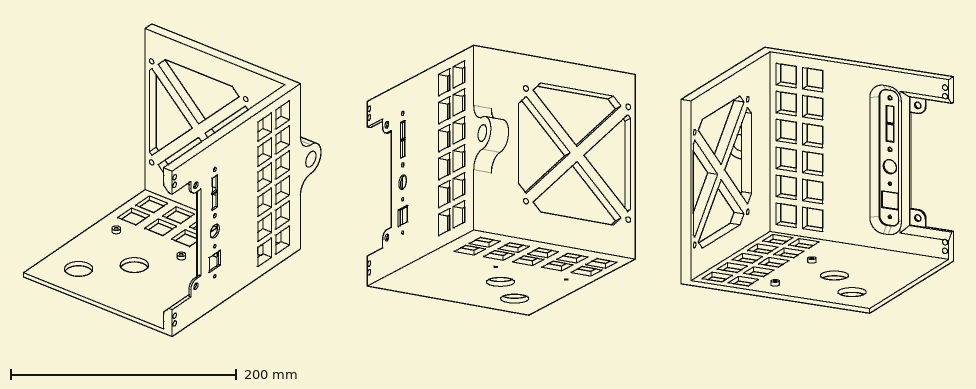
import cadquery as cq
import math

width = 166.0
total_length = 217.0
height = 172.0
floor_thickness = 4.5
back_thickness = 10.0
side_thickness = 9.8

lug_radius = 15.0
lug_hole_diameter = 15.0
lug_thickness = 18.2

length = total_length - 2 * lug_radius
side_inner_x = width - side_thickness

vent_size = 20.0
vent_row_pitch = 26.0
vent_first_y = 125.0
vent_rows = 2
side_vent_first_z = 12.0
side_vent_columns = 6
floor_vent_width = 20.5
floor_vent_first_x = 9.5
floor_vent_pitch = 30.0
floor_vent_columns = 5

standoff_diameter = 7.5
standoff_hole_diameter = 3.0
standoff_height = 3.5
standoff_y = 105.2
standoff_xs = (23.0, 95.7)
cable_hole_diameter = 25.0
cable_hole_spots = (35.0, 70.0)

fan_x = 60.0
fan_z = 88.0
fan_opening = 120.0
fan_corner_cut = 22.8
fan_brace_width = 10.0
fan_screw_pitch = 105.0
fan_screw_diameter = 5.0
fan_left_limit = 5.0

bevel = 6.0
notch_depth = 42.0
notch_height = 120.0
notch_z = fan_z

ear_size = 15.0
ear_thickness = 2.0
ear_hole_diameter = 6.0
ear_hole_inset = ear_size / 2

arm_hole_diameter = 5.0
arm_hole_y = 3.7
arm_hole_pitch = 8.0
arm_lower_hole_zs = (12.0, 12.0 + arm_hole_pitch)
arm_upper_hole_zs = (156.0, 156.0 + arm_hole_pitch)

panel_y = 62.3
panel_z = notch_z
panel_width = 19.5
panel_height = 126.3
panel_corner_radius = 7.4
panel_thickness = 2.0
panel_round_holes = ((143.5, 4.0), (95.5, 4.0), (79.5, 13.0), (63.5, 3.0), (32.5, 3.0))
twin_window_width = 7.5
twin_window_height = 16.0
twin_window_gap = 1.0
twin_window_z = 119.4
square_window_width = 16.3
square_window_height = 15.5
square_window_z = 48.0


def block(x_range, y_range, z_range):
    """Axis-aligned box between the given limits."""
    (x0, x1), (y0, y1), (z0, z1) = x_range, y_range, z_range
    return cq.Workplane("XY").box(x1 - x0, y1 - y0, z1 - z0, centered=False).translate((x0, y0, z0))


def plane_facing_x(x):
    """Sketch plane at the given X: local axes are Y and Z, extrusion runs toward +X."""
    return cq.Workplane("YZ", origin=(x, 0, 0))


def plane_facing_y(y):
    """Sketch plane at the given Y: local axes are X and Z, extrusion runs toward -Y."""
    return cq.Workplane("XZ", origin=(0, y, 0))


def side_cut(sketch):
    """Extrude a sketch lying on the inner face of the side wall through the wall."""
    return sketch.extrude(side_thickness)


def make_walls():
    floor = block((0, width), (0, length), (0, floor_thickness))
    back = block((0, width), (length - back_thickness, length), (0, height))
    side = block((side_inner_x, width), (0, length), (0, height))
    return floor.union(back).union(side)


def make_lug():
    """Round eye joined to the back wall by two concave quarter arcs."""
    eye_y = length + lug_radius
    eye_z = height / 2
    diagonal = lug_radius * math.sqrt(0.5)
    profile = (
        plane_facing_x(width - lug_thickness)
        .moveTo(length, eye_z - 2 * lug_radius)
        .threePointArc(
            (eye_y - diagonal, eye_z - 2 * lug_radius + diagonal),
            (eye_y, eye_z - lug_radius),
        )
        .threePointArc((total_length, eye_z), (eye_y, eye_z + lug_radius))
        .threePointArc(
            (eye_y - diagonal, eye_z + 2 * lug_radius - diagonal),
            (length, eye_z + 2 * lug_radius),
        )
        .lineTo(length - back_thickness / 2, eye_z + 2 * lug_radius)
        .lineTo(length - back_thickness / 2, eye_z - 2 * lug_radius)
        .close()
    )
    return profile.extrude(lug_thickness)


def make_lug_hole():
    eye = plane_facing_x(width - lug_thickness).center(length + lug_radius, height / 2)
    return eye.circle(lug_hole_diameter / 2).extrude(lug_thickness)


def vent_centers(first, column_width, pitch, columns):
    """(column position, y) of every window centre in a grid."""
    return [
        (first + column_width / 2 + column * pitch, vent_first_y + vent_size / 2 + row * vent_row_pitch)
        for column in range(columns)
        for row in range(vent_rows)
    ]


def make_floor_vents():
    centers = vent_centers(floor_vent_first_x, floor_vent_width, floor_vent_pitch, floor_vent_columns)
    return cq.Workplane("XY").pushPoints(centers).rect(floor_vent_width, vent_size).extrude(floor_thickness)


def make_side_vents():
    grid = vent_centers(side_vent_first_z, vent_size, vent_row_pitch, side_vent_columns)
    centers = [(y, z) for z, y in grid]
    return side_cut(plane_facing_x(side_inner_x).pushPoints(centers).rect(vent_size, vent_size))


standoff_centers = [(x, standoff_y) for x in standoff_xs]


def make_standoffs():
    circles = cq.Workplane("XY").pushPoints(standoff_centers).circle(standoff_diameter / 2)
    return circles.extrude(floor_thickness + standoff_height)


def make_floor_holes():
    screw_holes = (
        cq.Workplane("XY")
        .pushPoints(standoff_centers)
        .circle(standoff_hole_diameter / 2)
        .extrude(floor_thickness + standoff_height)
    )
    cable_holes = (
        cq.Workplane("XY")
        .pushPoints([(spot, spot) for spot in cable_hole_spots])
        .circle(cable_hole_diameter / 2)
        .extrude(floor_thickness)
    )
    return screw_holes.union(cable_holes)


def make_fan_opening():
    """Square opening with cut corners, less a diagonal cross of braces."""
    center = plane_facing_y(length).center(fan_x, fan_z)
    opening = center.rect(fan_opening, fan_opening).extrude(back_thickness)
    opening = opening.edges("|Y").chamfer(fan_corner_cut)
    for angle in (45, -45):
        brace = center.transformed(rotate=(0, 0, angle)).rect(2 * fan_opening, fan_brace_width)
        opening = opening.cut(brace.extrude(back_thickness))
    rim = block((-fan_opening, fan_left_limit), (0, length), (0, height))
    return opening.cut(rim)


def make_fan_screw_holes():
    return (
        plane_facing_y(length)
        .center(fan_x, fan_z)
        .rect(fan_screw_pitch, fan_screw_pitch, forConstruction=True)
        .vertices()
        .circle(fan_screw_diameter / 2)
        .extrude(back_thickness)
    )


def make_notch():
    """Open-fronted notch through the side wall, bevelled on its inner rim."""
    straight = block(
        (side_inner_x, width),
        (0, notch_depth),
        (notch_z - notch_height / 2, notch_z + notch_height / 2),
    )
    bevelled = (
        plane_facing_x(side_inner_x + bevel)
        .center(0, notch_z)
        .rect(2 * notch_depth, notch_height)
        .workplane(offset=-bevel)
        .rect(2 * (notch_depth + bevel), notch_height + 2 * bevel)
        .loft(ruled=True)
    )
    return straight.union(bevelled)


def make_ear(direction):
    """Ear in the upper (direction 1) or lower (direction -1) corner of the notch."""
    corner_z = notch_z + direction * notch_height / 2
    free_z = corner_z - direction * ear_size
    free_y = notch_depth - ear_size
    ear = block(
        (width - ear_thickness, width),
        (free_y, notch_depth),
        (min(corner_z, free_z), max(corner_z, free_z)),
    )
    free_corner = "<Y and <Z" if direction > 0 else "<Y and >Z"
    ear = ear.edges("|X").edges(free_corner).fillet(ear_hole_inset)
    hole = (
        plane_facing_x(width - ear_thickness)
        .center(notch_depth - ear_hole_inset, corner_z - direction * ear_hole_inset)
        .circle(ear_hole_diameter / 2)
        .extrude(ear_thickness)
    )
    return ear.cut(hole)


def make_arm_holes():
    centers = [(arm_hole_y, z) for z in arm_lower_hole_zs + arm_upper_hole_zs]
    return side_cut(plane_facing_x(side_inner_x).pushPoints(centers).circle(arm_hole_diameter / 2))


def make_panel_pocket():
    """Pocket with rounded corners: straight next to the panel, then widening at 45 degrees inward."""
    outline = cq.Sketch().rect(panel_width, panel_height).vertices().fillet(panel_corner_radius)
    bevel_end = plane_facing_x(side_inner_x + bevel).center(panel_y, panel_z).placeSketch(outline)
    straight = bevel_end.extrude(side_thickness - bevel - panel_thickness)
    return bevel_end.extrude(-bevel, taper=-45).union(straight)


def make_panel_cutouts():
    base = plane_facing_x(side_inner_x)
    twin_offset = (twin_window_height + twin_window_gap) / 2
    twin_centers = [(panel_y, twin_window_z + offset) for offset in (-twin_offset, twin_offset)]
    cutouts = side_cut(base.pushPoints(twin_centers).rect(twin_window_width, twin_window_height))
    square = base.pushPoints([(panel_y, square_window_z)]).rect(square_window_width, square_window_height)
    cutouts = cutouts.union(side_cut(square))
    for z, diameter in panel_round_holes:
        cutouts = cutouts.union(side_cut(base.pushPoints([(panel_y, z)]).circle(diameter / 2)))
    return cutouts


result = (
    make_walls()
    .union(make_lug())
    .cut(make_lug_hole())
    .union(make_standoffs())
    .cut(make_floor_vents())
    .cut(make_side_vents())
    .cut(make_floor_holes())
    .cut(make_fan_opening())
    .cut(make_fan_screw_holes())
    .cut(make_notch())
    .cut(make_arm_holes())
    .cut(make_panel_pocket())
    .cut(make_panel_cutouts())
    .union(make_ear(1))
    .union(make_ear(-1))
)